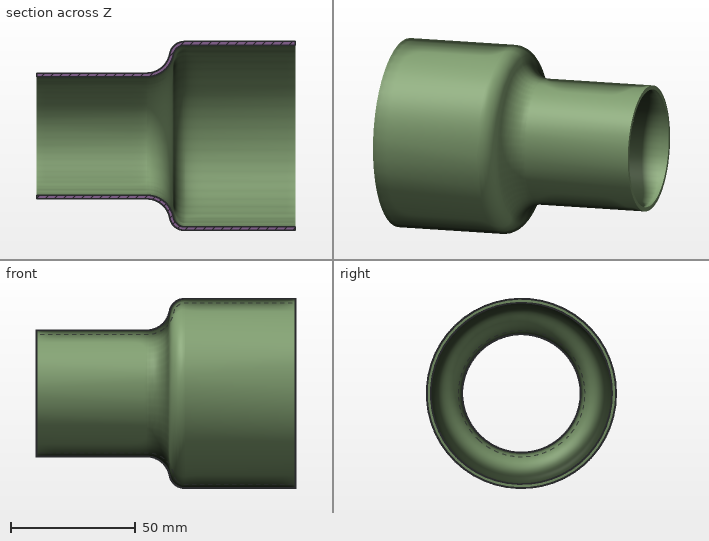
import cadquery as cq
import math

total_length = 104.14
small_outer_radius = 50.8 / 2
large_outer_radius = 76.2 / 2
wall = 1.651
straight_length = 44.45
shoulder_radius = 6.35

transition_length = total_length - 2 * straight_length
radius_step = large_outer_radius - small_outer_radius
bend_radius_sum = (transition_length**2 + radius_step**2) / (2 * radius_step)
neck_radius = bend_radius_sum - shoulder_radius
bend_angle = math.atan2(transition_length, bend_radius_sum - radius_step)

neck_center = (straight_length, small_outer_radius + neck_radius)
shoulder_center = (total_length - straight_length, large_outer_radius - shoulder_radius)


def neck_point(offset, angle):
    """Point on the concave bend, offset inward, at an angle from the small tube end."""
    radius = neck_radius + offset
    return (
        neck_center[0] + radius * math.sin(angle),
        neck_center[1] - radius * math.cos(angle),
    )


def shoulder_point(offset, angle):
    """Point on the convex bend, offset inward, at an angle from the large tube end."""
    radius = shoulder_radius - offset
    return (
        shoulder_center[0] - radius * math.sin(angle),
        shoulder_center[1] + radius * math.cos(angle),
    )


def revolved_body(offset):
    """Solid of the reducer shape, its surface offset inward from the outside."""
    profile = (
        cq.Workplane("XY")
        .lineTo(0, small_outer_radius - offset)
        .lineTo(*neck_point(offset, 0))
        .threePointArc(neck_point(offset, bend_angle / 2), neck_point(offset, bend_angle))
        .threePointArc(shoulder_point(offset, bend_angle / 2), shoulder_point(offset, 0))
        .lineTo(total_length, large_outer_radius - offset)
        .lineTo(total_length, 0)
        .close()
    )
    return profile.revolve(360, (0, 0, 0), (1, 0, 0))


outside = revolved_body(0)
bore = revolved_body(wall)
result = outside.cut(bore)